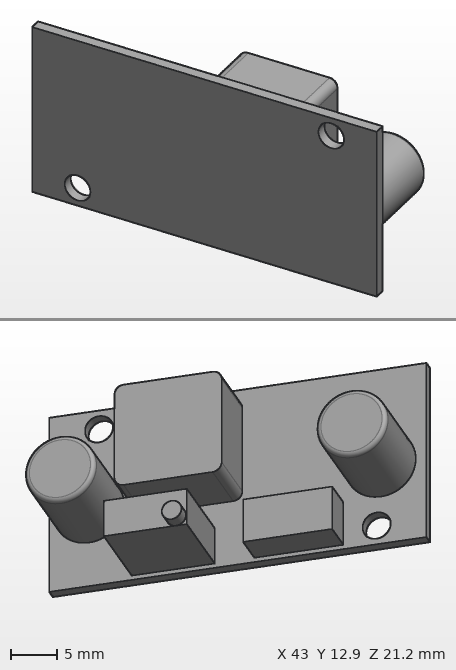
import cadquery as cq

board_length = 43.0
board_height = 21.2
board_thickness = 1.35
overall_depth = 12.9

hole_diameter = 3.2
hole_inset_x = 5.68
hole_inset_z = 2.3

capacitor_diameter = 8.0
capacitor_height = 10.45
capacitor_rounding = 0.5
capacitor_centres = [(5.2, 9.7), (38.45, 9.3)]

lower_row_z = 0.5

chip_left = 9.45
chip_width = 10.15
chip_length = 5.15
chip_height = 4.0

inductor_left = 21.0
inductor_top = 20.0
inductor_side = 12.2
inductor_height = 7.35
inductor_corner_radius = 1.05

trimmer_left = 24.12
trimmer_width = 9.45
trimmer_length = 4.3
trimmer_height = 9.95
screw_diameter = 2.25
screw_side_gap = 0.1


def block(left, bottom, width, length, height):
    """Box standing on the rear face of the board."""
    return cq.Workplane("XY").box(width, height, length, centered=False).translate(
        (left, board_thickness, bottom)
    )


def cylinder(centre, diameter, start_y, end_y):
    """Cylinder along Y, centred on an (X, Z) point."""
    x, z = centre
    axis_start = cq.Vector(x, start_y, z)
    solid = cq.Solid.makeCylinder(diameter / 2, end_y - start_y, axis_start, cq.Vector(0, 1, 0))
    return cq.Workplane("XY").add(solid)


def make_board():
    board = cq.Workplane("XY").box(board_length, board_thickness, board_height, centered=False)
    lower_left = (hole_inset_x, hole_inset_z)
    upper_right = (board_length - hole_inset_x, board_height - hole_inset_z)
    for centre in (lower_left, upper_right):
        board = board.cut(cylinder(centre, hole_diameter, 0, board_thickness))
    return board


def make_capacitor(centre):
    can = cylinder(centre, capacitor_diameter, board_thickness, board_thickness + capacitor_height)
    return can.faces(">Y").edges().fillet(capacitor_rounding)


def make_inductor():
    bottom = inductor_top - inductor_side
    body = block(inductor_left, bottom, inductor_side, inductor_side, inductor_height)
    return body.edges("|Y").fillet(inductor_corner_radius)


def make_trimmer():
    body = block(trimmer_left, lower_row_z, trimmer_width, trimmer_length, trimmer_height)
    screw_radius = screw_diameter / 2
    screw_centre = (trimmer_left + screw_side_gap + screw_radius, lower_row_z + screw_radius)
    screw = cylinder(screw_centre, screw_diameter, board_thickness + trimmer_height, overall_depth)
    return body.union(screw)


chip = block(chip_left, lower_row_z, chip_width, chip_length, chip_height)

result = make_board().union(chip).union(make_inductor()).union(make_trimmer())
for capacitor_centre in capacitor_centres:
    result = result.union(make_capacitor(capacitor_centre))